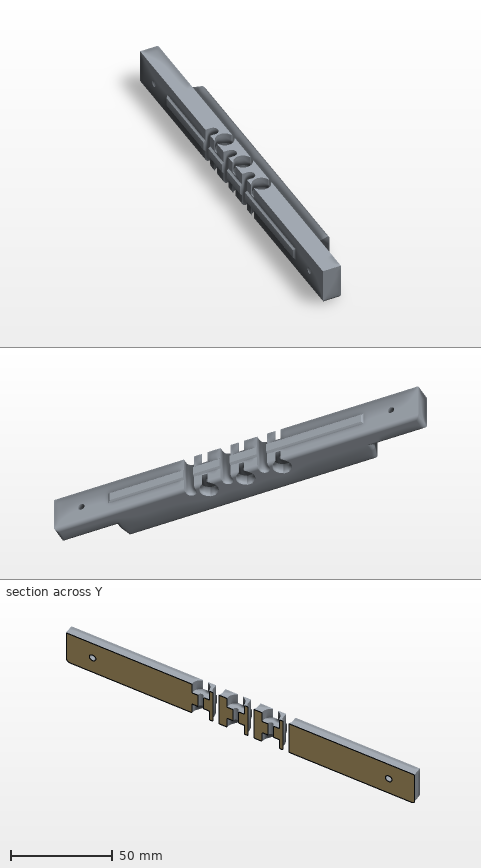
import cadquery as cq

bar_length = 200.0
bar_depth = 10.0
bar_height = 20.0
mid_height = bar_height / 2
bottom_round = 2.0

pad_length = 140.0
pad_rear_length = 136.0
pad_depth = 10.0
pad_straight_depth = 3.0
pad_height = 13.5
pad_round = 2.0

rib_length = 140.0
rib_height = 6.6
rib_depth = 1.0
rib_bevel = 1.0

station_count = 3
station_pitch = 20.1
slot_diameter = 5.4
slot_center_y = 2.95
first_slot_x = -25.95

slot_to_pocket = 8.65
pocket_diameter = 9.7
pocket_opening_width = 3.0
bridge_height = 8.0
pocket_depth = (bar_height - bridge_height) / 2
bridge_hole_diameter = 3.0

mounting_hole_diameter = 3.5
mounting_hole_x = 85.0

slot_xs = [first_slot_x + i * station_pitch for i in range(station_count)]
pocket_xs = [x + slot_to_pocket for x in slot_xs]


def make_body():
    """Bar and rear pad, rounded along the underside and the top rear edge."""
    bar = cq.Workplane("XY").box(bar_length, bar_depth, bar_height, centered=(True, False, False))
    half_front = pad_length / 2
    half_rear = pad_rear_length / 2
    straight_end_y = bar_depth + pad_straight_depth
    rear_y = bar_depth + pad_depth
    pad = (
        cq.Workplane("XY")
        .moveTo(-half_front, bar_depth)
        .lineTo(half_front, bar_depth)
        .lineTo(half_front, straight_end_y)
        .lineTo(half_rear, rear_y)
        .lineTo(-half_rear, rear_y)
        .lineTo(-half_front, straight_end_y)
        .close()
        .extrude(pad_height)
    )
    pad = pad.faces(">Y").edges(">Z").fillet(pad_round)
    return bar.union(pad).faces("<Z").edges().fillet(bottom_round)


def make_rib():
    """Long rib on the front face, bevelled all round towards its outer face."""
    return (
        cq.Workplane("XZ")
        .center(0, mid_height)
        .rect(rib_length, rib_height)
        .workplane(offset=rib_depth)
        .rect(rib_length - 2 * rib_bevel, rib_height - 2 * rib_bevel)
        .loft(combine=True)
    )


def upright_cylinders(xs, y, diameter, bottom, height):
    """Vertical cylinders of one size at the given X positions."""
    points = [(x, y) for x in xs]
    return cq.Workplane("XY", origin=(0, 0, bottom)).pushPoints(points).circle(diameter / 2).extrude(height)


def make_slots():
    """Round-ended slots running from the front of the rib into the bar."""
    straight_length = slot_center_y + rib_depth
    mouths = (
        cq.Workplane("XY")
        .pushPoints([(x, slot_center_y - straight_length / 2) for x in slot_xs])
        .rect(slot_diameter, straight_length)
        .extrude(bar_height)
    )
    return mouths.union(upright_cylinders(slot_xs, slot_center_y, slot_diameter, 0, bar_height))


def cut_pockets(body):
    """Upper and lower pockets with narrow openings through the bar's front and back faces."""
    middle_y = bar_depth / 2
    for bottom in (0, bar_height - pocket_depth):
        pockets = upright_cylinders(pocket_xs, middle_y, pocket_diameter, bottom, pocket_depth)
        openings = (
            cq.Workplane("XY", origin=(0, middle_y, bottom))
            .pushPoints([(x, 0) for x in pocket_xs])
            .rect(pocket_opening_width, bar_depth)
            .extrude(pocket_depth)
        )
        body = body.cut(pockets).cut(openings)
    return body.cut(upright_cylinders(pocket_xs, middle_y, bridge_hole_diameter, 0, bar_height))


def make_mounting_holes():
    """Front-to-back holes near both ends of the bar."""
    return (
        cq.Workplane("XZ")
        .pushPoints([(-mounting_hole_x, mid_height), (mounting_hole_x, mid_height)])
        .circle(mounting_hole_diameter / 2)
        .extrude(-bar_depth)
    )


body = make_body().union(make_rib())
body = cut_pockets(body)
result = body.cut(make_slots()).cut(make_mounting_holes())